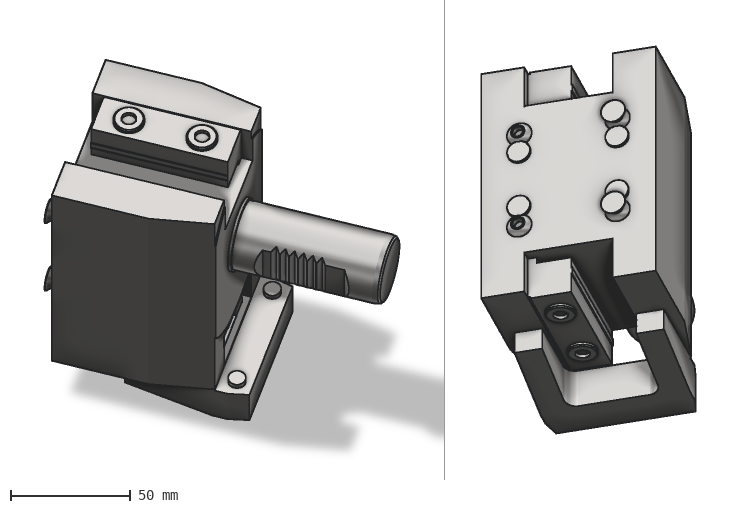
import cadquery as cq
import math


body_depth = 70.0
body_width = 76.0
body_height = 110.1
body_mid_z = -9.8
body_top = body_mid_z + body_height / 2
body_bottom = body_mid_z - body_height / 2
taper_start = 42.0
rear_width = 65.0
slot_width = 38.5
slot_depth = 19.1
seat_radius = 44.9
seat_height = 0.5

shank_radius = 15.0
shank_end = 135.9
collar_radius = 16.0
collar_length = 1.4
lead_length = 3.1
lead_drop = 0.4
end_chamfer = 0.9
flat_offset = 12.1
flat_start = 84.1
flat_end = 119.8
groove_count = 6
groove_pitch = 4.0
groove_depth = 1.9
first_groove = 89.5

clamp_start = 5.3
clamp_end = 65.0
clamp_face_y = 0.4
clamp_rise = 0.4
clamp_groove_width = 0.9
clamp_groove_depth = 0.3
clamp_gap = 2.7
clamp_leg_width = 3.9
ridge_height = 0.4
ridge_width = 3.1
ridge_drop = 8.5
bolt_xs = (19.1, 51.0)
bolt_y = 9.1
bolt_radius = 4.1
bolt_head_radius = 6.5
bolt_head_height = 1.7
bolt_head_chamfer = 0.5
bolt_socket_radius = 3.1
bolt_socket_depth = 1.7

nozzle_y = 21.4
nozzle_spacing_z = 44.9
dome_radius = 5.4
dome_height = 2.3
dome_tip_radius = 3.0
dome_socket_radius = 2.3
dome_socket_depth = 2.9
neck_radius = 2.7
neck_end = 3.5
flare_radius = 5.3
flare_start = 6.4
flare_end = 6.7
plug_radius = 5.0
plug_height = 1.3
plug_spacing_z = 26.8

foot_start = 30.2
foot_end = 84.0
foot_bottom = -82.7
foot_front_height = 9.8
foot_slope_end = 68.5
foot_rear_drop = 0.9
foot_taper_start = 75.2
foot_end_width = 60.7
foot_notch_end = 66.5
foot_notch_width = 41.0
foot_notch_round = 5.0
pin_x = 76.9
pin_y = 25.0
pin_radius = 3.7
pin_height = 2.3


def box(x0, x1, y0, y1, z0, z1):
    """Box given by its limits along each axis."""
    return cq.Workplane("XY").box(x1 - x0, y1 - y0, z1 - z0, centered=False).translate((x0, y0, z0))


def cylinder_x(radius, x0, x1, y=0.0, z=0.0):
    """Cylinder along X."""
    return cq.Workplane("YZ", origin=(x0, y, z)).circle(radius).extrude(x1 - x0)


def cylinder_z(radius, x, y, z0, z1):
    """Cylinder along Z."""
    return cq.Workplane("XY", origin=(x, y, z0)).circle(radius).extrude(z1 - z0)


def revolve_x(profile):
    """Turn a closed XY profile around the X axis."""
    return profile.close().revolve(360, (0, 0, 0), (1, 0, 0))


def mirror_z(shape):
    """Copy a shape to the other end of the body."""
    return shape.mirror("XY", (0, 0, body_mid_z))


def make_body():
    """Block with tapered sides, a raised round seat at the rear and a slot in each end."""
    half, rear_half = body_width / 2, rear_width / 2
    outline = [
        (0, -half),
        (taper_start, -half),
        (body_depth, -rear_half),
        (body_depth, rear_half),
        (taper_start, half),
        (0, half),
    ]
    block = cq.Workplane("XY", origin=(0, 0, body_bottom)).polyline(outline).close().extrude(body_height)
    seat_x = body_depth - seat_height
    around_seat = box(seat_x, body_depth, -half, half, body_bottom, body_top)
    around_seat = around_seat.cut(cylinder_x(seat_radius, seat_x, body_depth))
    slot = box(0, body_depth, -slot_width / 2, slot_width / 2, body_top - slot_depth, body_top)
    return block.cut(around_seat).cut(slot).cut(mirror_z(slot))


def make_shank():
    """Round shank with a collar, a slightly conical chamfered end and a serrated flat."""
    tip_radius = shank_radius - lead_drop
    profile = (
        cq.Workplane("XY")
        .moveTo(body_depth, 0)
        .lineTo(body_depth, collar_radius)
        .lineTo(body_depth + collar_length, collar_radius)
        .lineTo(body_depth + collar_length, shank_radius)
        .lineTo(shank_end - lead_length, shank_radius)
        .lineTo(shank_end - end_chamfer, tip_radius)
        .lineTo(shank_end, tip_radius - end_chamfer)
        .lineTo(shank_end, 0)
    )
    ramp = shank_radius - flat_offset
    recess = [
        (flat_start, -flat_offset),
        (flat_end, -flat_offset),
        (flat_end + ramp, -shank_radius),
        (flat_start - ramp, -shank_radius),
    ]
    cutter = cq.Workplane("XY").polyline(recess).close().extrude(shank_radius, both=True)
    for i in range(groove_count):
        x = first_groove + i * groove_pitch
        groove = [
            (x - groove_depth, -flat_offset),
            (x, groove_depth - flat_offset),
            (x + groove_depth, -flat_offset),
            (x, -shank_radius),
        ]
        cutter = cutter.union(cq.Workplane("XY").polyline(groove).close().extrude(shank_radius, both=True))
    return revolve_x(profile).cut(cutter)


def make_clamp():
    """Upper clamp block against the +Y slot wall, with a groove, a ridge and two bolts."""
    wall_y = slot_width / 2
    slot_floor = body_top - slot_depth
    top = body_top + clamp_rise
    underside = slot_floor + clamp_gap
    groove_y = wall_y - clamp_groove_width
    clamp = box(clamp_start, clamp_end, clamp_face_y, wall_y, underside, top)
    clamp = clamp.cut(box(clamp_start, clamp_end, groove_y, wall_y, body_top - clamp_groove_depth, top))
    clamp = clamp.union(box(clamp_start, clamp_end, wall_y - clamp_leg_width, wall_y, slot_floor, underside))
    ridge_y = clamp_face_y - ridge_height
    ridge_top = body_top - ridge_drop
    clamp = clamp.union(box(clamp_start, clamp_end, ridge_y, clamp_face_y, ridge_top - ridge_width, ridge_top))
    for x in bolt_xs:
        head_top = top + bolt_head_height
        head = cylinder_z(bolt_head_radius, x, bolt_y, top, head_top)
        head = head.faces(">Z").chamfer(bolt_head_chamfer)
        socket = cylinder_z(bolt_socket_radius, x, bolt_y, head_top - bolt_socket_depth, head_top)
        shaft = cylinder_z(bolt_radius, x, bolt_y, slot_floor, underside)
        clamp = clamp.union(head).cut(socket).union(shaft)
    return clamp


def make_dome():
    """Domed screw head on the X axis, standing out from the front face."""
    center_depth = (dome_radius**2 - dome_tip_radius**2 - dome_height**2) / (2 * dome_height)
    sphere_radius = math.hypot(center_depth, dome_radius)
    bulge_x = -dome_height / 2
    bulge = (bulge_x, math.sqrt(sphere_radius**2 - (center_depth - bulge_x) ** 2))
    profile = (
        cq.Workplane("XY")
        .moveTo(0, 0)
        .lineTo(0, dome_radius)
        .threePointArc(bulge, (-dome_height, dome_tip_radius))
        .lineTo(-dome_height, 0)
    )
    return revolve_x(profile)


def make_flared_nozzle():
    """Domed head carrying a neck that flares out to a thin disc."""
    profile = (
        cq.Workplane("XY")
        .moveTo(0, 0)
        .lineTo(0, neck_radius)
        .lineTo(-neck_end, neck_radius)
        .lineTo(-flare_start, flare_radius)
        .lineTo(-flare_end, flare_radius)
        .lineTo(-flare_end, 0)
    )
    return make_dome().union(revolve_x(profile))


def make_foot():
    """Sloped foot with a clearance notch at the front and two pins at the rear."""
    rear_top = body_bottom - foot_rear_drop
    side = [
        (foot_start, body_bottom),
        (body_depth - seat_height, body_bottom),
        (body_depth - seat_height, rear_top),
        (foot_end, rear_top),
        (foot_end, foot_bottom),
        (foot_slope_end, foot_bottom),
        (foot_start, body_bottom - foot_front_height),
    ]
    foot = cq.Workplane("XZ").polyline(side).close().extrude(rear_width / 2, both=True)
    half, end_half = rear_width / 2, foot_end_width / 2
    plan = [
        (foot_start, -half),
        (foot_taper_start, -half),
        (foot_end, -end_half),
        (foot_end, end_half),
        (foot_taper_start, half),
        (foot_start, half),
    ]
    plan_prism = cq.Workplane("XY", origin=(0, 0, foot_bottom)).polyline(plan).close()
    foot = foot.intersect(plan_prism.extrude(body_bottom - foot_bottom))
    notch_half = foot_notch_width / 2
    notch = box(foot_start, foot_notch_end, -notch_half, notch_half, foot_bottom, body_bottom)
    foot = foot.cut(notch.edges("|Z and >X").fillet(foot_notch_round))
    for y in (-pin_y, pin_y):
        foot = foot.union(cylinder_z(pin_radius, pin_x, y, rear_top, rear_top + pin_height))
    return foot


clamp_block = make_clamp()
result = make_body().union(make_shank()).union(clamp_block).union(mirror_z(clamp_block)).union(make_foot())
for side_z in (-1, 1):
    nozzle_z = body_mid_z + side_z * nozzle_spacing_z / 2
    plug_z = body_mid_z + side_z * plug_spacing_z / 2
    result = result.union(make_dome().translate((0, nozzle_y, nozzle_z)))
    socket_floor = dome_socket_depth - dome_height
    result = result.cut(cylinder_x(dome_socket_radius, -dome_height, socket_floor, nozzle_y, nozzle_z))
    result = result.union(make_flared_nozzle().translate((0, -nozzle_y, nozzle_z)))
    for y in (-nozzle_y, nozzle_y):
        result = result.union(cylinder_x(plug_radius, -plug_height, 0, y, plug_z))